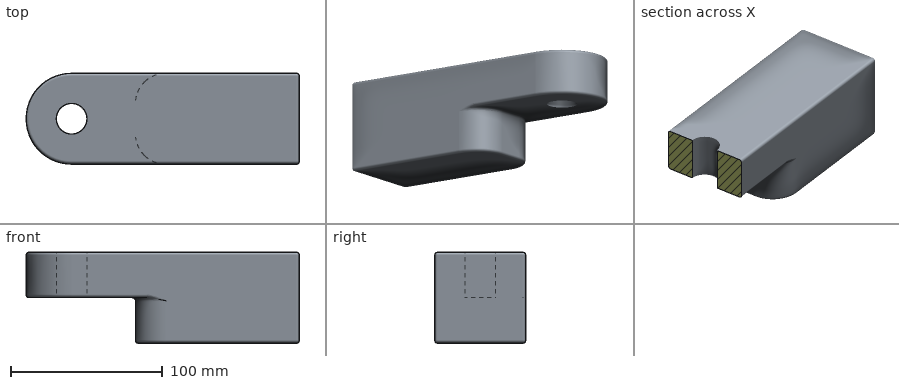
import cadquery as cq

length = 180.0
width = 60.0
height = 60.0

tongue_thickness = 30.0
tongue_radius = width / 2
hole_diameter = 20.0

block_setback = 72.0
block_corner_radius = 20.0

edge_radius = 2.0

tip_x = -tongue_radius
rear_x = tip_x + length
block_x = tip_x + block_setback
block_length = rear_x - block_x
block_height = height - tongue_thickness


def make_bar():
    """Full-height bar with a half-round front end."""
    return (
        cq.Workplane("XY")
        .moveTo(rear_x, -width / 2)
        .lineTo(0, -width / 2)
        .threePointArc((tip_x, 0), (0, width / 2))
        .lineTo(rear_x, width / 2)
        .close()
        .extrude(height)
    )


def make_block():
    """Block with its two vertical front corners rounded; only its lower part gets used."""
    return (
        cq.Workplane("XY", origin=(block_x, 0, 0))
        .box(block_length, width, height, centered=(False, True, False))
        .edges("|Z and <X")
        .fillet(block_corner_radius)
    )


def cut_notch(bar):
    """Clear the space under the tongue, leaving the lower block standing."""
    layer = (
        cq.Workplane("XY")
        .box(2 * length, 2 * width, block_height, centered=(True, True, False))
    )
    return bar.cut(layer.cut(make_block()))


def edges_under_tongue(body, start_x, end_x):
    """Edges at the tongue's underside whose centers lie between two X positions."""
    return body.edges(
        cq.selectors.BoxSelector(
            (start_x, -width, block_height - edge_radius / 2),
            (end_x, width, block_height + edge_radius / 2),
        )
    )


def round_edges(body):
    """Round the outer edges, then the inside corner at the block, then the tongue's lower rim."""
    body = body.edges("<Z or >Z or >X").fillet(edge_radius)
    inside_corner = edges_under_tongue(body, block_x - edge_radius, block_x + block_corner_radius)
    body = inside_corner.fillet(edge_radius)
    lower_rim = edges_under_tongue(body, tip_x, block_x - 2 * edge_radius)
    return lower_rim.fillet(edge_radius)


def drill_hole(body):
    """Cut the vertical pivot hole, which has sharp rims, through the tongue."""
    hole = cq.Workplane("XY").circle(hole_diameter / 2).extrude(height)
    return body.cut(hole)


result = drill_hole(round_edges(cut_notch(make_bar())))